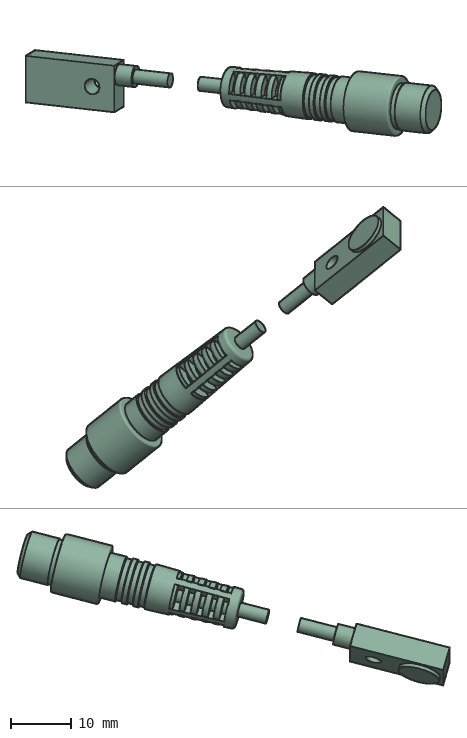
import cadquery as cq
import math

CABLE_DIA = 2.4

BLOCK_LENGTH = 16.0
BLOCK_DEPTH = 4.1
BLOCK_HEIGHT = 8.0
BLOCK_TOP_Z = 2.0
BLOCK_MID_Z = BLOCK_TOP_Z - BLOCK_HEIGHT / 2
DISC_DIA = 7.0
DISC_HEIGHT = 0.65
DISC_X = BLOCK_HEIGHT / 2
HOLE_DIA = 2.6
HOLE_X = 12.0
FERRULE_DIA = 3.55
FERRULE_END_X = 18.95
SENSOR_CABLE_END_X = 25.2

PLUG_CABLE_START_X = 30.6
BOOT_START_X = 35.5
TAPER_END_X = 49.65
NUT_START_X = 58.4
NUT_END_X = 66.5
PLUG_START_X = 67.3
PLUG_END_X = 72.6
BOOT_START_DIA = 6.75
BOOT_START_ROUND = 0.5
SLEEVE_DIA = 7.7
NUT_DIA = 10.0
NUT_ROUND = 0.3
PLUG_DIA = 8.0
PLUG_CHAMFER = 0.65

GROOVE_DIA = 7.2
GROOVE_MOUTH_WIDTH = 1.15
GROOVE_FLOOR_WIDTH = 0.9
GROOVE_PITCH = 1.95
GROOVE_START_X = 50.7
GROOVE_COUNT = 3

CORE_DIA = 3.6
SPINE_COUNT = 4
SPINE_ANGLE = 20.0
SPINE_TWIST = 13.5
SLOT_START_X = 37.25
LAST_SLOT_START_X = 44.9
SLOT_WIDTHS = (0.9, 0.9, 0.9, 1.0, 1.1)
SLOT_PITCH = (LAST_SLOT_START_X - SLOT_START_X) / (len(SLOT_WIDTHS) - 1)
WINDOW_END_X = 46.6
RIB_RECESS = 0.15
RIB_FALL = 0.1
RIB_FLAT = 0.6


def x_cylinder(diameter, start_x, end_x):
    """Round bar on the X axis."""
    return cq.Workplane("YZ", origin=(start_x, 0, 0)).circle(diameter / 2).extrude(end_x - start_x)


def revolve_about_x(points):
    """Turn an (X, radius) outline into a solid of revolution."""
    return cq.Workplane("XY").polyline(points).close().revolve(360, (0, 0, 0), (1, 0, 0))


def boot_radius(x):
    """Outer radius of the tapered boot at a place along X."""
    share = (x - BOOT_START_X) / (TAPER_END_X - BOOT_START_X)
    return (BOOT_START_DIA + share * (SLEEVE_DIA - BOOT_START_DIA)) / 2


def make_sensor():
    block = cq.Workplane("XY").box(BLOCK_LENGTH, BLOCK_DEPTH, BLOCK_HEIGHT)
    block = block.translate((BLOCK_LENGTH / 2, 0, BLOCK_MID_Z))
    back_y = BLOCK_DEPTH / 2
    disc = cq.Workplane("XZ", origin=(DISC_X, back_y, BLOCK_MID_Z)).circle(DISC_DIA / 2).extrude(-DISC_HEIGHT)
    hole = cq.Workplane("XZ", origin=(HOLE_X, back_y, BLOCK_MID_Z)).circle(HOLE_DIA / 2).extrude(BLOCK_DEPTH)
    ferrule = x_cylinder(FERRULE_DIA, BLOCK_LENGTH, FERRULE_END_X)
    cable = x_cylinder(CABLE_DIA, FERRULE_END_X, SENSOR_CABLE_END_X)
    return block.union(disc).cut(hole).union(ferrule).union(cable)


def make_window_sector():
    """Wedge between two neighbouring spines, over the length of the windows."""
    half_angle = math.radians(360 / SPINE_COUNT - SPINE_ANGLE) / 2
    reach = SLEEVE_DIA
    corners = [
        (0, 0),
        (reach * math.cos(half_angle), reach * math.sin(half_angle)),
        (reach * math.cos(half_angle), -reach * math.sin(half_angle)),
    ]
    wedge = cq.Workplane("YZ", origin=(SLOT_START_X, 0, 0)).polyline(corners).close()
    return wedge.extrude(WINDOW_END_X - SLOT_START_X)


def make_window_rings():
    """Material removed all round: deep slots down to the core and shallow relief over the ribs."""
    outline = [(SLOT_START_X, SLEEVE_DIA)]
    rib_ends = [SLOT_START_X + (index + 1) * SLOT_PITCH for index in range(len(SLOT_WIDTHS) - 1)]
    rib_ends.append(WINDOW_END_X)
    slot_x = SLOT_START_X
    for slot_width, rib_end_x in zip(SLOT_WIDTHS, rib_ends):
        rib_x = slot_x + slot_width
        ridge_x = rib_x + RIB_FLAT
        outline += [
            (slot_x, CORE_DIA / 2),
            (rib_x, CORE_DIA / 2),
            (rib_x, boot_radius(rib_x) - RIB_RECESS),
            (ridge_x, boot_radius(ridge_x) - RIB_RECESS),
            (rib_end_x, boot_radius(rib_end_x) - RIB_RECESS - RIB_FALL),
        ]
        slot_x = rib_end_x
    outline.append((WINDOW_END_X, SLEEVE_DIA))
    return revolve_about_x(outline)


def cut_windows(boot):
    window = make_window_rings().intersect(make_window_sector())
    step = 360 / SPINE_COUNT
    for index in range(SPINE_COUNT):
        angle = SPINE_TWIST + (index + 0.5) * step
        boot = boot.cut(window.rotate((0, 0, 0), (1, 0, 0), angle))
    return boot


def make_boot():
    """Tapered boot running into the straight sleeve, with its end rounded and its windows cut."""
    outline = [
        (BOOT_START_X, 0),
        (BOOT_START_X, BOOT_START_DIA / 2),
        (TAPER_END_X, SLEEVE_DIA / 2),
        (PLUG_START_X, SLEEVE_DIA / 2),
        (PLUG_START_X, 0),
    ]
    boot = revolve_about_x(outline).faces("<X").edges().fillet(BOOT_START_ROUND)
    return cut_windows(boot)


def cut_grooves(sleeve):
    """Cut ring grooves with slightly sloped walls."""
    wall_run = (GROOVE_MOUTH_WIDTH - GROOVE_FLOOR_WIDTH) / 2
    for index in range(GROOVE_COUNT):
        start_x = GROOVE_START_X + index * GROOVE_PITCH
        end_x = start_x + GROOVE_MOUTH_WIDTH
        ring = [
            (start_x, SLEEVE_DIA / 2),
            (start_x + wall_run, GROOVE_DIA / 2),
            (end_x - wall_run, GROOVE_DIA / 2),
            (end_x, SLEEVE_DIA / 2),
        ]
        sleeve = sleeve.cut(revolve_about_x(ring))
    return sleeve


def make_connector():
    cable = x_cylinder(CABLE_DIA, PLUG_CABLE_START_X, BOOT_START_X)
    boot = cut_grooves(make_boot())
    nut = x_cylinder(NUT_DIA, NUT_START_X, NUT_END_X).edges().fillet(NUT_ROUND)
    plug = x_cylinder(PLUG_DIA, PLUG_START_X, PLUG_END_X).faces(">X").edges().chamfer(PLUG_CHAMFER)
    return boot.union(cable).union(nut).union(plug)


sensor = make_sensor()
connector = make_connector()
result = cq.Compound.makeCompound([sensor.val(), connector.val()])